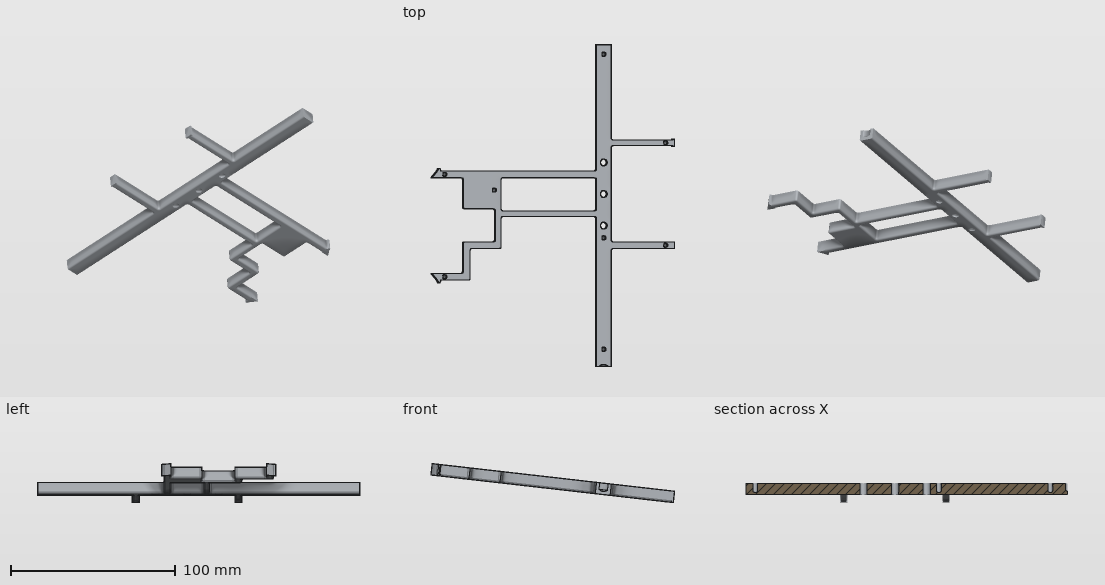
import cadquery as cq

TILT = 6.5
THICK = 7.0
CORNER_R = 1.2
BOTTOM_R = 1.0
END_MARGIN = 0.2

BEAM_LENGTH = 195.5
BEAM_WIDTH = 9.0

WIDE_BAR = 4.1
NARROW_BAR = 3.5
TIP_SPACING = 62.1
RIGHT_END = 43.2
LEFT_END = -105.0
RIGHT_ARM_Y = 38.1
LEFT_ARM_Y = 19.0
INNER_BAR_Y = -4.9

BLOCK_LEFT = -85.8
BLOCK_RIGHT = -62.7
BLOCK_BOTTOM = -2.0

right_low_y = RIGHT_ARM_Y - TIP_SPACING
left_low_y = LEFT_ARM_Y - TIP_SPACING
step_y = right_low_y

TIP_SLANT = 3.3
TOE_SLANT = 0.8
TOE_FLAT = 0.8
TOE_HEIGHT = 1.5
TOE_RUNOUT = 0.5
TIP_ROOT = 5.7

PLATE_LENGTH = 1.2
UPPER_PLATE_WIDTH = 4.5

SMALL_D = 2.5
SMALL_DEPTH = 5.0
SMALL_POINT = 0.8
LARGE_D = 4.1
LARGE_PITCH = 19.2
LARGE_MIDDLE_Y = 7.0
TIP_HOLE_INSET_LEFT = 7.8
TIP_HOLE_INSET_RIGHT = 5.5
BLOCK_HOLE = (-66.8, 9.4)
BEAM_HOLES_Y = (91.9, -19.5, -87.2)

SCALLOP_R = 3.1
SCALLOP_CENTRE_OUT = 1.8
SCALLOP_DEPTH = 4.1
SCALLOP_CONE_H = 2.3


def slab(x0, x1, y0, y1):
    """Full-thickness rectangular piece below z = 0."""
    piece = cq.Workplane("XY").box(x1 - x0, y1 - y0, THICK, centered=False)
    return piece.translate((x0, y0, -THICK))


def bar_x(x0, x1, y, width):
    """Bar along X centred on y."""
    return slab(x0, x1, y - width / 2, y + width / 2)


def between_ends(x_left, z_low, z_high):
    """Selector for edges centred inside the frame, clear of its free ends."""
    x_right = RIGHT_END - END_MARGIN
    y_end = BEAM_LENGTH / 2 - END_MARGIN
    return cq.selectors.BoxSelector(
        (x_left + END_MARGIN, -y_end, z_low - END_MARGIN),
        (x_right, y_end, z_high + END_MARGIN),
    )


def frame():
    half_beam = BEAM_WIDTH / 2
    tip_root = LEFT_END + TIP_ROOT
    step_top = step_y + WIDE_BAR / 2
    body = slab(-half_beam, half_beam, -BEAM_LENGTH / 2, BEAM_LENGTH / 2)
    pieces = [
        bar_x(0, RIGHT_END, RIGHT_ARM_Y, NARROW_BAR),
        bar_x(0, RIGHT_END, right_low_y, WIDE_BAR),
        bar_x(tip_root, 0, LEFT_ARM_Y, WIDE_BAR),
        bar_x(BLOCK_RIGHT - NARROW_BAR, 0, INNER_BAR_Y, NARROW_BAR),
        slab(BLOCK_LEFT, BLOCK_RIGHT, BLOCK_BOTTOM, LEFT_ARM_Y),
        slab(BLOCK_RIGHT - NARROW_BAR, BLOCK_RIGHT, step_top - WIDE_BAR, BLOCK_BOTTOM),
        bar_x(BLOCK_LEFT, BLOCK_RIGHT, step_y, WIDE_BAR),
        slab(BLOCK_LEFT, BLOCK_LEFT + WIDE_BAR, left_low_y - WIDE_BAR / 2, step_y),
        bar_x(tip_root, BLOCK_LEFT + WIDE_BAR, left_low_y, WIDE_BAR),
    ]
    for piece in pieces:
        body = body.union(piece)
    body = body.clean()
    body = body.edges("|Z").edges(between_ends(tip_root, -THICK, 0)).fillet(CORNER_R)
    return body.edges(between_ends(tip_root, -THICK, -THICK)).fillet(BOTTOM_R)


def left_tip(arm_y, side):
    """Slanted tip with its toe pointing to +Y (side = 1) or -Y (side = -1)."""
    half = WIDE_BAR / 2
    toe_x = LEFT_END + TIP_SLANT
    toe_start = toe_x + TOE_SLANT
    toe_end = toe_start + TOE_FLAT
    outline = [
        (LEFT_END, -half),
        (toe_x, half),
        (toe_start, half + TOE_HEIGHT),
        (toe_end, half + TOE_HEIGHT),
        (toe_end + TOE_RUNOUT, half),
        (LEFT_END + TIP_ROOT, half),
        (LEFT_END + TIP_ROOT, -half),
    ]
    points = [(x, arm_y + side * y) for x, y in outline]
    return cq.Workplane("XY").polyline(points).close().extrude(-THICK)


def right_plate(arm_y, width):
    """Square end plate closing a right arm."""
    return bar_x(RIGHT_END - PLATE_LENGTH, RIGHT_END, arm_y, width)


def turned_cutter(radius, depth, point):
    """Cylinder going down from z = 0 and ending in a cone of height `point`."""
    profile = [(0, 0), (radius, 0), (radius, -depth), (0, -depth - point)]
    return cq.Workplane("XZ").polyline(profile).close().revolve(360, (0, 0), (0, 1))


def small_holes():
    points = [(0, y) for y in BEAM_HOLES_Y] + [BLOCK_HOLE]
    points += [(LEFT_END + TIP_HOLE_INSET_LEFT, y) for y in (LEFT_ARM_Y, left_low_y)]
    points += [(RIGHT_END - TIP_HOLE_INSET_RIGHT, y) for y in (RIGHT_ARM_Y, right_low_y)]
    cutter = turned_cutter(SMALL_D / 2, SMALL_DEPTH, SMALL_POINT)
    return cq.Workplane("XY").pushPoints(points).eachpoint(cutter.val(), combine="a")


def large_holes():
    points = [(0, LARGE_MIDDLE_Y + i * LARGE_PITCH) for i in (-1, 0, 1)]
    return cq.Workplane("XY").pushPoints(points).circle(LARGE_D / 2).extrude(-THICK)


def end_scallop():
    cutter = turned_cutter(SCALLOP_R, SCALLOP_DEPTH, SCALLOP_CONE_H)
    return cutter.translate((0, -BEAM_LENGTH / 2 - SCALLOP_CENTRE_OUT, 0))


body = frame()
body = body.union(left_tip(LEFT_ARM_Y, 1)).union(left_tip(left_low_y, -1))
body = body.union(right_plate(RIGHT_ARM_Y, UPPER_PLATE_WIDTH))
body = body.union(right_plate(right_low_y, WIDE_BAR))
body = body.cut(small_holes()).cut(large_holes()).cut(end_scallop())
result = body.rotate((0, 0, 0), (0, 1, 0), TILT)